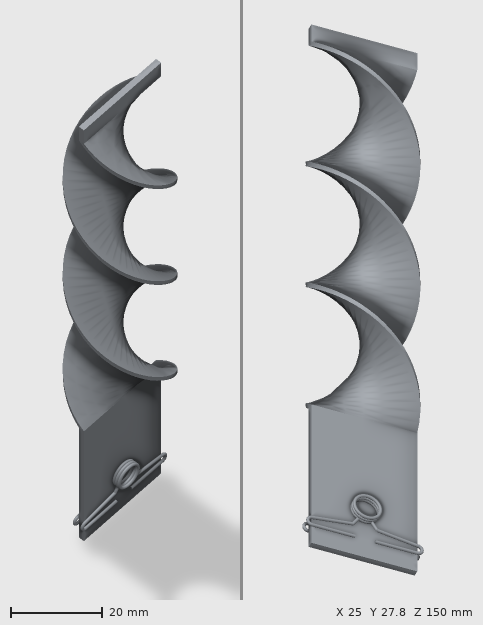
import cadquery as cq
import math

BLADE_WIDTH = 25.0
BLADE_THICKNESS = 1.5
TOTAL_HEIGHT = 150.0
FOOT_HEIGHT = 40.0
HEAD_HEIGHT = 5.0
TWIST_HEIGHT = TOTAL_HEIGHT - FOOT_HEIGHT - HEAD_HEIGHT
HALF_TURNS = 3
TWIST_ANGLE = -180.0 * HALF_TURNS

CLIP_SPAN = 27.8
WIRE_DIAMETER = 0.8
WIRE_RADIUS = WIRE_DIAMETER / 2
COIL_TURNS = 3
COIL_PITCH = 0.72
COIL_OUTER_RADIUS = 3.5
COIL_RADIUS = COIL_OUTER_RADIUS - WIRE_RADIUS
COIL_CENTER_Z = 13.0
LEG_ROOT_ANGLE = 60.0
KNEE_Y = 2.8
KNEE_Z = 8.4
LOWER_LEG_Z = 5.0
LOWER_LEG_END_Y = 2.4
BEND_RADIUS = 1.0
BEND_Y = CLIP_SPAN / 2 - WIRE_RADIUS - BEND_RADIUS
BEND_Z = LOWER_LEG_Z + BEND_RADIUS
WIRE_X = BLADE_THICKNESS / 2 + WIRE_RADIUS


def make_blade():
    """Strip with flat ends and a twisted stretch between them."""
    def section(z):
        return cq.Workplane("XY", origin=(0, 0, z)).rect(BLADE_THICKNESS, BLADE_WIDTH)

    foot = section(0).extrude(FOOT_HEIGHT)
    twist = section(FOOT_HEIGHT).twistExtrude(TWIST_HEIGHT, TWIST_ANGLE)
    head = section(FOOT_HEIGHT + TWIST_HEIGHT).extrude(HEAD_HEIGHT)
    return foot.union(twist).union(head)


def make_leg():
    """Wire from the coil to the knee, out past the blade edge and back."""
    root_angle = math.radians(LEG_ROOT_ANGLE)
    root_y = COIL_RADIUS * math.cos(root_angle)
    root_z = COIL_CENTER_Z - COIL_RADIUS * math.sin(root_angle)

    reach_y = BEND_Y - KNEE_Y
    drop_z = KNEE_Z - BEND_Z
    slope = math.atan2(drop_z, reach_y) - math.asin(BEND_RADIUS / math.hypot(reach_y, drop_z))
    bend_start = (BEND_Y + BEND_RADIUS * math.sin(slope), BEND_Z + BEND_RADIUS * math.cos(slope))

    path = (
        cq.Workplane("YZ", origin=(WIRE_X, 0, 0))
        .moveTo(LOWER_LEG_END_Y, LOWER_LEG_Z)
        .lineTo(BEND_Y, LOWER_LEG_Z)
        .threePointArc((BEND_Y + BEND_RADIUS, BEND_Z), bend_start)
        .lineTo(KNEE_Y, KNEE_Z)
        .lineTo(root_y, root_z)
    )
    return (
        cq.Workplane("XZ", origin=(WIRE_X, LOWER_LEG_END_Y, LOWER_LEG_Z))
        .circle(WIRE_RADIUS)
        .sweep(path, transition="round")
    )


def make_clip():
    """Coil of stacked wire rings with two mirrored legs, on the +X face."""
    leg = make_leg()
    clip = leg.union(leg.mirror("XZ"))
    for turn in range(COIL_TURNS):
        center = cq.Vector(WIRE_X + turn * COIL_PITCH, 0, COIL_CENTER_Z)
        ring = cq.Solid.makeTorus(COIL_RADIUS, WIRE_RADIUS, center, cq.Vector(1, 0, 0))
        clip = clip.union(cq.Workplane(ring))
    return clip


blade = make_blade()
clips = []
for angle in (0, 180):
    clips.append(make_clip().rotate((0, 0, 0), (0, 0, 1), angle).solids().val())

result = cq.Compound.makeCompound([blade.solids().val(), *clips])